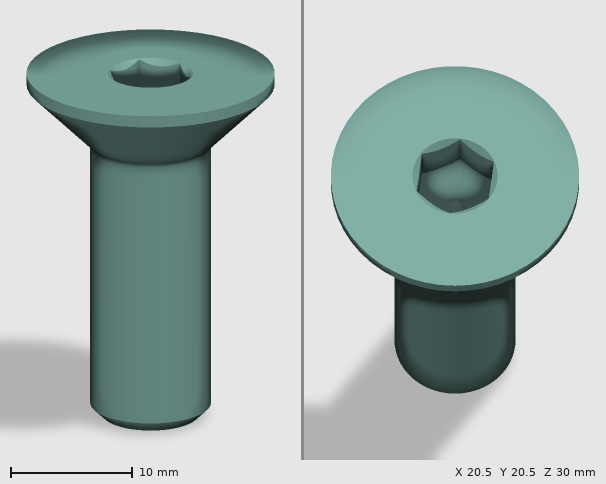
import cadquery as cq
import math

length = 30.0
head_diameter = 20.5
shank_diameter = 10.0
rim_height = 1.0
tip_chamfer = 1.0
neck_fillet = 0.45

hex_across_flats = 6.0
socket_mouth_diameter = 7.02
socket_depth = 3.5
socket_floor_diameter = 1.0
mouth_angle = 45.0
floor_angle = 30.0

head_radius = head_diameter / 2
shank_radius = shank_diameter / 2
rim_bottom = length - rim_height
neck_height = rim_bottom - (head_radius - shank_radius)
hex_across_corners = hex_across_flats / math.cos(math.radians(30))


def make_body():
    """Revolve the shank and head, then round the inside corner at the neck."""
    neck_tangent = neck_fillet * math.tan(math.radians(45 / 2))
    neck_step = neck_tangent * math.sqrt(0.5)
    neck_end = (shank_radius + neck_step, neck_height + neck_step)
    return (
        cq.Workplane("XZ")
        .lineTo(shank_radius - tip_chamfer, 0)
        .lineTo(shank_radius, tip_chamfer)
        .lineTo(shank_radius, neck_height - neck_tangent)
        .tangentArcPoint(neck_end, relative=False)
        .lineTo(head_radius, rim_bottom)
        .lineTo(head_radius, length)
        .lineTo(0, length)
        .close()
        .revolve(360, (0, 0, 0), (0, 1, 0))
    )


def make_socket():
    """Hexagonal pocket with a conical floor and a chamfered round mouth."""
    mouth_radius = socket_mouth_diameter / 2
    corner_radius = hex_across_corners / 2
    floor_radius = socket_floor_diameter / 2
    floor_edge = length - socket_depth
    floor_bottom = floor_edge - (corner_radius - floor_radius) * math.tan(math.radians(floor_angle))
    mouth_apex = length - mouth_radius * math.tan(math.radians(mouth_angle))

    hexagon = (
        cq.Workplane("XY", origin=(0, 0, floor_bottom))
        .polygon(6, hex_across_corners)
        .extrude(length - floor_bottom)
    )
    floor_envelope = (
        cq.Workplane("XZ")
        .moveTo(0, floor_bottom)
        .lineTo(floor_radius, floor_bottom)
        .lineTo(corner_radius, floor_edge)
        .lineTo(mouth_radius, floor_edge)
        .lineTo(mouth_radius, length)
        .lineTo(0, length)
        .close()
        .revolve(360, (0, 0, 0), (0, 1, 0))
    )
    mouth = (
        cq.Workplane("XZ")
        .moveTo(0, mouth_apex)
        .lineTo(mouth_radius, length)
        .lineTo(0, length)
        .close()
        .revolve(360, (0, 0, 0), (0, 1, 0))
    )
    return hexagon.intersect(floor_envelope).union(mouth)


result = make_body().cut(make_socket())